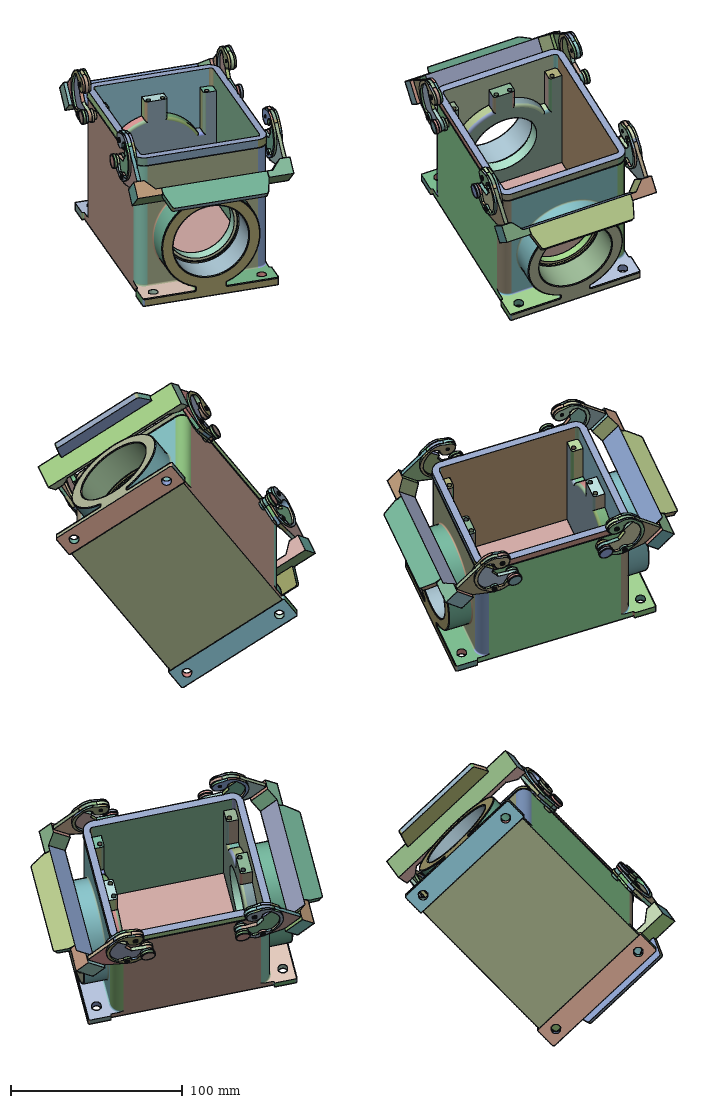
import cadquery as cq
import math

body_x, body_y = 94.8, 80.7
corner_r = 6.5
lip_step = 0.5
lip_bottom, body_top = 84.4, 89.8
foot_drop = 0.5
floor_top = 4.8
cavity_x, cavity_y = 87.1, 73.3
cavity_corner_r = 2.0

foot_top = 4.8
foot_outer_x, foot_inner_x = 62.4, 48.7
foot_width = 83.2
foot_corner_r = 1.1
foot_shoulder_r = 0.56
mount_hole_x, mount_hole_y = 55.6, 33.3
mount_hole_d = 5.6

entry_z = 36.0
entry_r = 30.2
wall_fillet = 0.8
entry_rim_chamfer = 0.5
neck_width = 19.0
neck_top = 8.0
neck_fillet = 1.0
passage_r = 20.5
bore_r, bore_mouth_chamfer = 23.1, 0.5
bore_ring_r, bore_ring_length = 22.3, 1.1
membrane = 2.5

pad_face_x = 36.5
pad_top = 51.5
pad_round = 1.6
post_top = 78.1
corner_post_y = 29.0
centre_post_width = 13.5
post_round = 1.5
screw_x, screw_hole_d, screw_depth = 38.5, 2.5, 9.6
screw_rows = (-31.3, -4.3, 4.3, 31.3)

plate_in, core_in, core_out, plate_out = 42.1, 43.5, 45.8, 47.1
head_x, head_z = -35.5, 97.4
roller_r, head_r = 5.5, 4.8
core_inset = 0.5
pivot_x, pivot_z = -28.3, 79.9
lug_r, pin_r, pin_head_r = 4.0, 2.5, 4.3
pin_end = 98.5 / 2
pin_head_chamfer = 0.4
rivet_x, rivet_z = -40.5, 75.5
rivet_r, rivet_end = 1.5, 47.7
rivet_hole_r, rivet_hole_depth = 1.0, 0.5
rivet_pad_r = 2.7
hook_top_x, hook_top_z = -40.2, 103.5
hook_arc_r = 9.3

bar_x, bar_z = -71.0, 77.1
bar_depth = 14.1
bar_thick, block_thick = 4.0, 10.1
block_out, block_in, bar_shoulder = 47.9, 41.6, 36.0
grip_tip_x, grip_angle, grip_thick = -80.4, 33.0, 3.7
grip_root_y, grip_tip_y = 32.5, 29.2
grip_straight = 0.3
grip_corner_r = 1.6


def block(x0, x1, y0, y1, z0, z1):
    return cq.Workplane("XY").box(x1 - x0, y1 - y0, z1 - z0, centered=False).translate((x0, y0, z0))


def disc_x(radius, x0, x1):
    """Cylinder along X on the axis of the cable entries."""
    return cq.Workplane("YZ", origin=(x0, 0, entry_z)).circle(radius).extrude(x1 - x0)


def disc_y(x, z, radius, y0, y1):
    """Cylinder along Y from y0 out to y1."""
    return cq.Workplane("XZ", origin=(x, y1, z)).circle(radius).extrude(y1 - y0)


def profile(y1):
    """XZ sketch plane at y1; extruding runs toward -Y."""
    return cq.Workplane("XZ", origin=(0, y1, 0))


def near(x0, x1, y0, y1, z0, z1, margin=0.2):
    """Selector for edges lying wholly inside a box."""
    low = (x0 - margin, y0 - margin, z0 - margin)
    high = (x1 + margin, y1 + margin, z1 + margin)
    return cq.selectors.BoxSelector(low, high, boundingbox=True)


def both_ends(shape):
    return shape.union(shape.mirror("YZ"))


def make_walls():
    walls = block(-body_x / 2, body_x / 2, -body_y / 2, body_y / 2, foot_drop, lip_bottom)
    return walls.edges("|Z").fillet(corner_r)


def make_lip():
    lip_x, lip_y = body_x / 2 + lip_step, body_y / 2 + lip_step
    lip = block(-lip_x, lip_x, -lip_y, lip_y, lip_bottom, body_top)
    return lip.edges("|Z").fillet(corner_r + lip_step)


def make_end():
    """Untrimmed plinth on the -X side with its entry boss and the neck between them."""
    inside_wall = -body_x / 2 + 1.6
    plinth = block(-foot_outer_x, 0, -foot_width, foot_width, 0, foot_top)
    boss = disc_x(entry_r, -foot_outer_x, inside_wall)
    neck = block(-foot_outer_x, inside_wall, -neck_width / 2, neck_width / 2, 0, neck_top)
    end = plinth.union(boss).union(neck)
    beside_neck = near(-foot_outer_x, inside_wall, -neck_width / 2, neck_width / 2, foot_top, neck_top)
    end = end.edges("|X").edges(beside_neck).fillet(neck_fillet)
    outer_rim = near(-foot_outer_x, -foot_outer_x, -foot_width, foot_width, foot_top, body_top)
    return end.edges(outer_rim).chamfer(entry_rim_chamfer)


def make_trim():
    """Prism of the plan outline: feet at both ends, narrower and raised between them."""
    side = body_y / 2
    middle = block(-foot_inner_x, foot_inner_x, -side, side, foot_drop, body_top)
    half = foot_width / 2
    foot = block(-foot_outer_x, -foot_inner_x, -half, half, 0, body_top)
    foot = foot.edges("|Z and <X").fillet(foot_corner_r)
    foot = foot.edges("|Z and >X").fillet(foot_shoulder_r)
    trim = middle.union(both_ends(foot))
    shoulder_roots = [near(x, x, y, y, 0, body_top)
                      for x in (-foot_inner_x, foot_inner_x) for y in (-side, side)]
    for root in shoulder_roots:
        trim = trim.edges("|Z").edges(root).fillet(foot_shoulder_r)
    return trim


def make_block():
    """Solid outer form of the housing, before it is hollowed out."""
    form = make_walls().union(both_ends(make_end()))
    wall, top = body_x / 2, body_top - corner_r
    joints = [near(x, x, -body_y / 2, body_y / 2, foot_top, top) for x in (-wall, wall)]
    form = form.edges(joints[0] + joints[1]).fillet(wall_fillet)
    form = form.intersect(make_trim()).union(make_lip())
    holes = cq.Workplane("XY").rect(2 * mount_hole_x, 2 * mount_hole_y, forConstruction=True).vertices()
    return form.cut(holes.circle(mount_hole_d / 2).extrude(foot_top))


def make_pads():
    """Thick inner wall on the -X side that carries the screw posts."""
    wall_x, half = -cavity_x / 2 - 1.6, cavity_y / 2 + 0.8
    pad = block(wall_x, -pad_face_x, -half, half, foot_drop, pad_top)
    pad = pad.union(disc_x(entry_r, wall_x, -pad_face_x))
    upper_rim = near(-pad_face_x, -pad_face_x, -half, half, pad_top, body_top)
    pad = pad.edges(upper_rim).fillet(pad_round)
    side = block(wall_x, -pad_face_x, corner_post_y, half, floor_top, post_top)
    centre = block(wall_x, -pad_face_x, -centre_post_width / 2, centre_post_width / 2, pad_top, post_top)
    centre = centre.edges("|Z and >X").fillet(post_round)
    side = side.edges("|Z and >X and <Y").fillet(post_round)
    posts = side.union(side.mirror("XZ")).union(centre)
    screws = cq.Workplane("XY", origin=(0, 0, post_top)).pushPoints([(-screw_x, y) for y in screw_rows])
    return pad.union(posts).cut(screws.circle(screw_hole_d / 2).extrude(-screw_depth))


def make_entry_bore():
    """Stepped bore of the -X entry, from its mouth to the cavity end."""
    ring_start = -cavity_x / 2 - bore_ring_length
    bore = disc_x(bore_r, -foot_outer_x, ring_start)
    ring = disc_x(bore_ring_r, ring_start, -cavity_x / 2)
    mouth_r = bore_r + bore_mouth_chamfer
    mouth = cq.Workplane("YZ", origin=(-foot_outer_x, 0, entry_z)).circle(mouth_r)
    mouth = mouth.extrude(2 * bore_mouth_chamfer, taper=45)
    return bore.union(ring).union(mouth)


def make_housing():
    housing = make_block()
    cavity = block(-cavity_x / 2, cavity_x / 2, -cavity_y / 2, cavity_y / 2, floor_top, body_top)
    housing = housing.cut(cavity.edges("|Z").fillet(cavity_corner_r))
    housing = housing.union(both_ends(make_pads()))
    housing = housing.cut(both_ends(make_entry_bore()))
    housing = housing.cut(disc_x(passage_r, pad_face_x, foot_outer_x))
    return housing.cut(disc_x(passage_r, -foot_outer_x, -pad_face_x - membrane))


def make_hook_layer(y0, y1, inset=0):
    """C-shaped hook: head, curved spine, rivet pad and pivot lug; inset shrinks spine and lug."""
    arc_r = hook_arc_r - inset
    slant = math.sqrt(0.5) * arc_r
    hook_centre_z = hook_top_z - hook_arc_r
    spine = (
        profile(y1)
        .moveTo(hook_top_x, hook_centre_z + arc_r)
        .threePointArc((hook_top_x - arc_r * math.sin(math.pi / 8),
                        hook_centre_z + arc_r * math.cos(math.pi / 8)),
                       (hook_top_x - slant, hook_centre_z + slant))
        .lineTo(-50.6, 96.7)
        .threePointArc((-52.7, 87.5), (-45.5, 75.7))
        .threePointArc((-41.1, 73.1), (-36.3, 72.5))
        .lineTo(pivot_x, pivot_z - lug_r + inset)
        .lineTo(pivot_x, pivot_z)
        .lineTo(pivot_x - lug_r + inset, pivot_z)
        .lineTo(-34.4, 75.9)
        .lineTo(-37.3, 75.9)
        .lineTo(rivet_x, rivet_z)
        .lineTo(-42.1, 77.3)
        .lineTo(-45.8, 77.3)
        .threePointArc((-50.8, 87.5), (-46.8, 98.0))
        .threePointArc((-43.7, 100.0), (-40.8, 97.7))
        .lineTo(head_x, head_z)
        .lineTo(head_x, head_z + head_r)
        .close()
        .extrude(y1 - y0)
    )
    ends = ((head_x, head_z, head_r), (pivot_x, pivot_z, lug_r - inset), (rivet_x, rivet_z, rivet_pad_r))
    for x, z, radius in ends:
        spine = spine.union(disc_y(x, z, radius, y0, y1))
    return spine


def make_core_plate():
    """Flat sheet between the two hook layers, running down to the bar."""
    outline = [
        (-63.3, 84.2), (-48.0, 99.3), (-40.3, 92.2), (-41.3, 89.7), (-37.6, 84.2),
        (pivot_x, pivot_z + lug_r - core_inset), (pivot_x, pivot_z - lug_r + core_inset),
        (-35.0, 72.6), (-39.9, 70.5), (-47.4, 72.5), (-54.0, 74.2), (-61.0, 80.4),
    ]
    return profile(core_out).polyline(outline).close().extrude(core_out - core_in)


def make_lever_side():
    """Everything on the +Y side of one lever, with its pivot pin."""
    side = make_core_plate()
    side = side.union(make_hook_layer(plate_in, core_in))
    side = side.union(make_hook_layer(core_in, core_out, core_inset))
    side = side.union(make_hook_layer(core_out, plate_out))
    side = side.union(disc_y(head_x, head_z, roller_r, core_in, core_out))
    pin = disc_y(pivot_x, pivot_z, pin_r, body_y / 2 - 1.6, plate_out)
    pin_head = disc_y(pivot_x, pivot_z, pin_head_r, plate_out, pin_end).edges().chamfer(pin_head_chamfer)
    side = side.union(pin).union(pin_head)
    for x, z in ((head_x, head_z), (rivet_x, rivet_z)):
        side = side.union(disc_y(x, z, rivet_r, plate_out, rivet_end))
        for face in (plate_in, rivet_end - rivet_hole_depth):
            side = side.cut(disc_y(x, z, rivet_hole_r, face, face + rivet_hole_depth))
    return side


def make_bar():
    """Cross bar, thick at both ends, sloping at 45 degrees."""
    outline = [
        (-block_out, 0), (block_out, 0), (block_out, block_thick), (block_in, block_thick),
        (bar_shoulder, bar_thick), (-bar_shoulder, bar_thick), (-block_in, block_thick), (-block_out, block_thick),
    ]
    plane = cq.Plane(origin=(bar_x, 0, bar_z), xDir=(0, 1, 0), normal=(1, 0, -1))
    return cq.Workplane(plane).polyline(outline).close().extrude(bar_depth)


def make_grip():
    """Finger tab running down from the upper edge of the bar."""
    angle = math.radians(grip_angle)
    rise = bar_thick * math.sqrt(0.5)
    root = (bar_x + rise, bar_z + rise)
    length = (root[0] - grip_tip_x) / math.cos(angle)
    straight = length * grip_straight
    plane = cq.Plane(origin=(root[0], 0, root[1]), xDir=(0, 1, 0), normal=(-math.sin(angle), 0, math.cos(angle)))
    outline = [(-grip_root_y, 0), (-grip_root_y, straight), (-grip_tip_y, length),
               (grip_tip_y, length), (grip_root_y, straight), (grip_root_y, 0)]
    grip = cq.Workplane(plane).polyline(outline).close().extrude(-grip_thick)
    tip_corners = near(grip_tip_x, grip_tip_x + grip_thick, -grip_tip_y, grip_tip_y, 0, body_top)
    across = cq.selectors.ParallelDirSelector(plane.zDir)
    return grip.edges(across).edges(tip_corners).fillet(grip_corner_r)


def make_lever():
    side = make_lever_side()
    return side.union(side.mirror("XZ")).union(make_bar()).union(make_grip())


result = make_housing().union(both_ends(make_lever()))